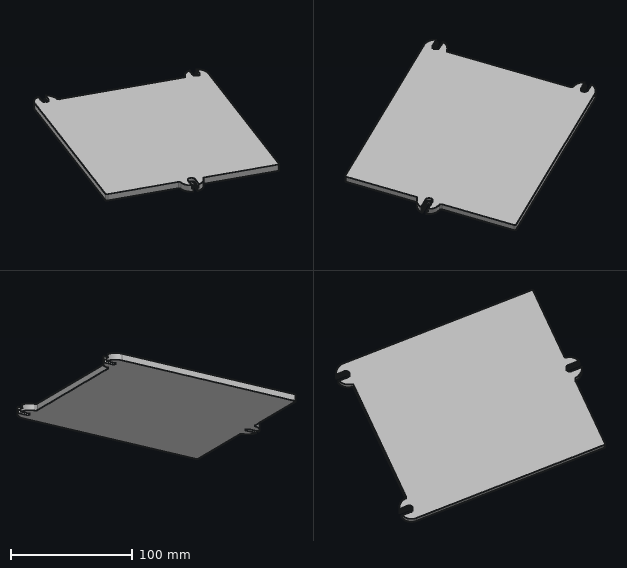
import cadquery as cq
import math

length = 189.5
width = 152.5
thickness = 6.0

lug_radius = 10.0
root_fillet = 1.5
corner_radius = 1.5
right_lug_y = -1.1

slot_width = 3.8
recess_width = 6.0
recess_depth = 3.0
left_slot_setback = 1.9

lug_reach = math.sqrt(lug_radius**2 - (slot_width / 2) ** 2)
edge_x = length / 2 - lug_reach
left_lug_y = width / 2 - lug_radius
lug_centers = [(-edge_x, left_lug_y), (-edge_x, -left_lug_y), (edge_x, right_lug_y)]


def plate():
    """Rectangular plate with lightly rounded right-hand corners."""
    body = cq.Workplane("XY").box(2 * edge_x, width, thickness, centered=(True, True, False))
    return body.edges("|Z and >X").fillet(corner_radius)


def lug(x, y):
    return cq.Workplane("XY").center(x, y).circle(lug_radius).extrude(thickness)


def root_fill(x, y, up):
    """Concave fillet between a lug and the plate edge; up is +1 above the lug, -1 below."""
    out = math.copysign(1, x)
    rise = math.sqrt((lug_radius + root_fillet) ** 2 - root_fillet**2)
    share = lug_radius / (lug_radius + root_fillet)
    center = (x + out * root_fillet, y + up * rise)
    lug_touch = (x + out * root_fillet * share, y + up * rise * share)
    wedge = (
        cq.Workplane("XY")
        .moveTo(x, y)
        .lineTo(x, center[1])
        .lineTo(*center)
        .lineTo(*lug_touch)
        .close()
        .extrude(thickness)
    )
    return wedge.cut(cq.Workplane("XY").center(*center).circle(root_fillet).extrude(thickness))


def slot(x, y, opening_width, floor_z):
    """Round-ended slot from (x, y) out through the lug, cut from floor_z to the top."""
    out = math.copysign(1, x)
    reach = 2 * lug_radius
    height = thickness - floor_z
    base = cq.Workplane("XY", origin=(x, y, floor_z))
    channel = base.center(out * reach / 2, 0).rect(reach, opening_width).extrude(height)
    return channel.union(base.circle(opening_width / 2).extrude(height))


result = plate()
for lug_x, lug_y in lug_centers:
    result = result.union(lug(lug_x, lug_y))

result = result.union(root_fill(-edge_x, left_lug_y, -1))
result = result.union(root_fill(-edge_x, -left_lug_y, 1))
result = result.union(root_fill(edge_x, right_lug_y, 1))
result = result.union(root_fill(edge_x, right_lug_y, -1))

for lug_x, lug_y in lug_centers:
    slot_x = lug_x if lug_x > 0 else lug_x - left_slot_setback
    result = result.cut(slot(slot_x, lug_y, slot_width, 0))
    result = result.cut(slot(slot_x, lug_y, recess_width, thickness - recess_depth))